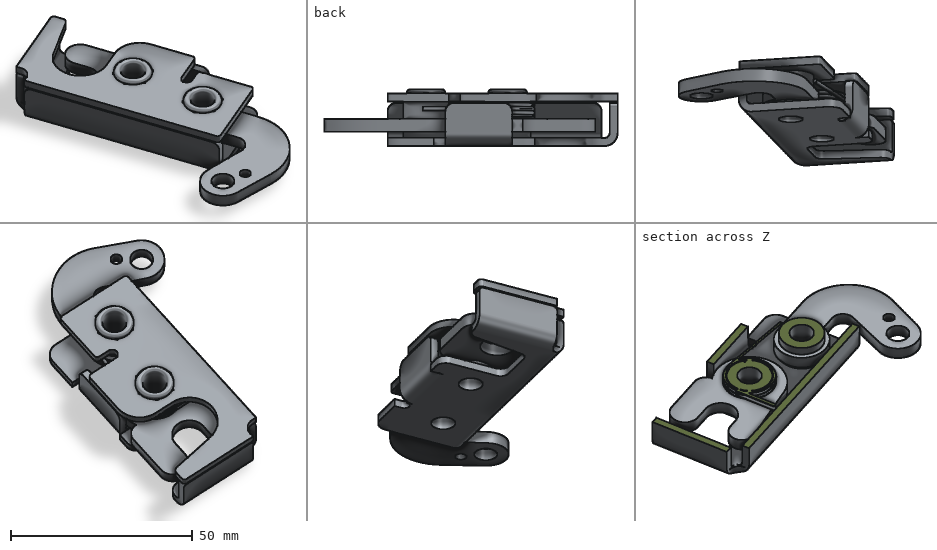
import cadquery as cq
import math

length = 63.4
width = 28.5
housing_height = 11.9
sheet = 2.3
bend_inner_radius = 1.45
bend_outer_radius = bend_inner_radius + sheet
corner_notch = 4.45
notch_fillet = 3.0
left_wall_corner = 1.05
wall_corner = 2.3
rear_wall_start = 29.1
rear_wall_end = 47.5
relief_width = 3.15
floor_corner = 3.9
floor_mouth_left = 6.55
floor_mouth_right = 22.9
floor_mouth_lean = math.radians(8.1)
floor_mouth_bottom = 8.9
floor_mouth_inner_radius = 2.4
floor_mouth_outer_radius = 2.9

cover_gap = 0.4
cover_bottom = housing_height + cover_gap
cover_top = cover_bottom + sheet
cover_corner = 1.05
mouth_center = (14.65, 15.3)
mouth_radius = 7.8
mouth_lean = math.radians(9.8)
mouth_left_corner = 1.4
mouth_right_corner = 7.5
cover_slot_start = 43.45
cover_slot_width = 3.15
cover_slot_bottom = 17.4
cover_step = 23.2

claw_pivot = (30.35, 15.45)
lever_pivot = (52.8, 12.2)
rivet_bore = 6.6
rivet_body = 12.7
rim_thickness = 2.0
hex_diameter = 11.3
hex_rise = 0.12
hex_top = cover_top + hex_rise

plate_bottom = 4.0
plate_thickness = 3.6
plate_top = plate_bottom + plate_thickness

upper_prong = (10.4, 24.3)
upper_prong_radius = width - upper_prong[1]
claw_mouth_center = (14.7, 15.3)
claw_mouth_radius = 4.8
lower_prong_x = 11.9
lower_prong_radius = 3.7
claw_corner_x = 22.7
claw_corner_radius = 3.5

lever_elbow = (66.3, 5.25)
lever_elbow_radius = 14.65
lever_hub_radius = lever_elbow[1] + lever_elbow_radius - lever_pivot[1]
lever_inner_elbow = (64.7, 6.15)
lever_inner_radius = 3.4
lever_tip = (68.6, -9.2)
lever_tip_radius = 6.3
lever_tip_hole = 6.3
lever_small_hole_center = (72.9, -3.7)
lever_small_hole = 3.15

wire = 1.1
coil_overlap = 0.04
coil_radius = (rivet_body + wire) / 2 - coil_overlap
coil_pitch = wire - coil_overlap
coil_turns = 4
coil_bottom = plate_top + wire / 2
long_leg_lean = math.radians(7.5)
long_leg_length = 22.65
short_leg_end = 3.0
short_leg_heights = (8.6, 9.95)
short_leg_rounding = 0.4


def polar(center, radius, angle):
    """Point on a circle at an angle in radians."""
    return (center[0] + radius * math.cos(angle), center[1] + radius * math.sin(angle))


def upright_wall(start, end, corner):
    """Wall along X standing on y = 0, with rounded top corners."""
    wall = cq.Workplane("XY").box(
        end - start, sheet, housing_height - bend_outer_radius, centered=False
    )
    wall = wall.faces(">Z").edges("|Y").fillet(corner)
    return wall.translate((start, 0, bend_outer_radius))


def bend(start, end):
    """Quarter-round bend along X joining the floor to a wall on y = 0."""
    diagonal = math.radians(225)
    center = (bend_outer_radius, bend_outer_radius)
    return (
        cq.Workplane("YZ", origin=(start, 0, 0))
        .moveTo(0, bend_outer_radius)
        .threePointArc(polar(center, bend_outer_radius, diagonal), (bend_outer_radius, 0))
        .lineTo(bend_outer_radius, sheet)
        .threePointArc(polar(center, bend_inner_radius, diagonal), (sheet, bend_outer_radius))
        .close()
        .extrude(end - start)
    )


def to_left_side(wall):
    """Turn a wall from the y = 0 side onto the x = 0 side."""
    return wall.mirror("XZ").rotate((0, 0, 0), (0, 0, 1), 90)


def to_rear_side(wall):
    """Mirror a wall from the y = 0 side onto the rear side."""
    return wall.mirror("XZ").translate((0, width, 0))


def floor_mouth():
    """Tapered opening in the floor where the striker enters."""
    left_at_bottom = floor_mouth_left + (width - floor_mouth_bottom) * math.tan(floor_mouth_lean)
    opening = (
        cq.Workplane("XY")
        .polyline([
            (floor_mouth_left, width),
            (left_at_bottom, floor_mouth_bottom),
            (floor_mouth_right, floor_mouth_bottom),
            (floor_mouth_right, width),
        ])
        .close()
        .extrude(sheet)
    )
    return opening.edges("|Z and <Y").fillet(floor_mouth_inner_radius)


def make_floor():
    """Flat floor inside the bend lines, with its openings and rounded corners."""
    rear_bend_line = width - bend_outer_radius
    inset = bend_outer_radius
    floor = cq.Workplane("XY").box(length - inset, width - inset, sheet, centered=False)
    floor = floor.translate((inset, inset, 0))
    floor = floor.edges("|Z and >X and >Y").fillet(floor_corner)

    rear_strip = cq.Workplane("XY").box(
        rear_wall_end - rear_wall_start, bend_outer_radius, sheet, centered=False
    )
    floor = floor.cut(rear_strip.translate((rear_wall_start, rear_bend_line, 0)))

    relief_radius = relief_width / 2
    relief = (
        cq.Workplane("XY")
        .moveTo(rear_wall_end, width)
        .lineTo(rear_wall_end, rear_bend_line + relief_radius)
        .radiusArc((rear_wall_end + relief_width, rear_bend_line + relief_radius), -relief_radius)
        .lineTo(rear_wall_end + relief_width, width)
        .close()
        .extrude(sheet)
    )
    floor = floor.cut(relief).cut(floor_mouth())
    for x in (floor_mouth_left, floor_mouth_right):
        corner = cq.selectors.NearestToPointSelector((x, width, sheet / 2))
        floor = floor.edges("|Z").edges(corner).fillet(floor_mouth_outer_radius)
    return floor


def make_housing():
    housing = make_floor()
    housing = housing.union(bend(0, length))
    housing = housing.union(to_left_side(bend(0, width)))
    notch = cq.Workplane("XY").box(corner_notch, corner_notch, bend_outer_radius, centered=False)
    housing = housing.cut(notch.edges("|Z and >X and >Y").fillet(notch_fillet))
    housing = housing.cut(notch.translate((0, 0, sheet)))

    housing = housing.union(upright_wall(corner_notch, length, wall_corner))
    housing = housing.union(to_left_side(upright_wall(corner_notch, width, left_wall_corner)))
    rear_wall = bend(rear_wall_start, rear_wall_end).union(
        upright_wall(rear_wall_start, rear_wall_end, wall_corner)
    )
    return housing.union(to_rear_side(rear_wall))


def make_cover():
    tangent = polar(mouth_center, mouth_radius, math.pi + mouth_lean)
    mouth_left_top = tangent[0] - (width - tangent[1]) * math.tan(mouth_lean)
    mouth_right = mouth_center[0] + mouth_radius
    slot_radius = cover_slot_width / 2
    slot_end = cover_slot_start + cover_slot_width
    cover = (
        cq.Workplane("XY", origin=(0, 0, cover_bottom))
        .moveTo(corner_notch, 0)
        .lineTo(length, 0)
        .lineTo(length, cover_step)
        .lineTo(slot_end, cover_step)
        .lineTo(slot_end, cover_slot_bottom + slot_radius)
        .radiusArc((cover_slot_start, cover_slot_bottom + slot_radius), slot_radius)
        .lineTo(cover_slot_start, width)
        .lineTo(mouth_right, width)
        .lineTo(mouth_right, mouth_center[1])
        .threePointArc(polar(mouth_center, mouth_radius, -math.pi / 2), tangent)
        .lineTo(mouth_left_top, width)
        .lineTo(0, width)
        .lineTo(0, corner_notch)
        .lineTo(corner_notch, corner_notch)
        .close()
        .extrude(sheet)
    )
    rounded_corners = [
        ((length, 0), cover_corner),
        ((length, cover_step), cover_corner),
        ((slot_end, cover_step), cover_corner),
        ((cover_slot_start, width), cover_corner),
        ((0, width), cover_corner),
        ((mouth_right, width), mouth_right_corner),
        ((mouth_left_top, width), mouth_left_corner),
        ((corner_notch, corner_notch), notch_fillet),
    ]
    for (x, y), radius in rounded_corners:
        corner = cq.selectors.NearestToPointSelector((x, y, cover_bottom + sheet / 2))
        cover = cover.edges("|Z").edges(corner).fillet(radius)
    return cover


def make_claw():
    mouth_top = upper_prong[1] - upper_prong_radius
    mouth_bottom = claw_mouth_center[1] - claw_mouth_radius
    lower_prong = (lower_prong_x, mouth_bottom - lower_prong_radius)
    corner = (claw_corner_x, width - claw_corner_radius)
    corner_end = (corner[0] + claw_corner_radius, corner[1])
    hub_radius = math.dist(corner_end, claw_pivot)
    return (
        cq.Workplane("XY", origin=(0, 0, plate_bottom))
        .moveTo(upper_prong[0], width)
        .lineTo(corner[0], width)
        .threePointArc(polar(corner, claw_corner_radius, math.pi / 4), corner_end)
        .threePointArc(polar(claw_pivot, hub_radius, 0), polar(claw_pivot, hub_radius, -math.pi / 2))
        .lineTo(lower_prong[0], lower_prong[1] - lower_prong_radius)
        .threePointArc(
            polar(lower_prong, lower_prong_radius, math.pi), (lower_prong[0], mouth_bottom)
        )
        .lineTo(claw_mouth_center[0], mouth_bottom)
        .threePointArc(
            polar(claw_mouth_center, claw_mouth_radius, 0), (claw_mouth_center[0], mouth_top)
        )
        .lineTo(upper_prong[0], mouth_top)
        .threePointArc(polar(upper_prong, upper_prong_radius, math.pi), (upper_prong[0], width))
        .close()
        .extrude(plate_thickness)
    )


def tangent_normal(start, end, offset_change):
    """Angle of the normal, left of travel, of a line tangent to circles around start and end.

    offset_change is the gain in the line's distance, left of the centers, from start to end.
    """
    heading = math.atan2(end[1] - start[1], end[0] - start[0])
    return heading + math.asin(offset_change / math.dist(start, end)) + math.pi / 2


def make_lever():
    outer_normal = tangent_normal(lever_elbow, lever_tip, lever_tip_radius - lever_elbow_radius)
    inner_normal = tangent_normal(
        lever_inner_elbow, lever_tip, -lever_tip_radius - lever_inner_radius
    )
    tip_bottom = polar(lever_tip, lever_tip_radius, -math.pi / 2)
    elbow_top = polar(lever_elbow, lever_elbow_radius, math.pi / 2)
    inner_top = polar(lever_inner_elbow, lever_inner_radius, math.pi / 2)
    arm = (
        cq.Workplane("XY", origin=(0, 0, plate_bottom))
        .moveTo(lever_pivot[0], elbow_top[1])
        .lineTo(*elbow_top)
        .threePointArc(
            polar(lever_elbow, lever_elbow_radius, (outer_normal + math.pi / 2) / 2),
            polar(lever_elbow, lever_elbow_radius, outer_normal),
        )
        .lineTo(*polar(lever_tip, lever_tip_radius, outer_normal))
        .threePointArc(tip_bottom, polar(lever_tip, -lever_tip_radius, inner_normal))
        .lineTo(*polar(lever_inner_elbow, lever_inner_radius, inner_normal))
        .threePointArc(
            polar(lever_inner_elbow, lever_inner_radius, (inner_normal + math.pi / 2) / 2),
            inner_top,
        )
        .lineTo(lever_pivot[0], inner_top[1])
        .close()
        .extrude(plate_thickness)
    )
    base = cq.Workplane("XY", origin=(0, 0, plate_bottom))
    hub = base.center(*lever_pivot).circle(lever_hub_radius).extrude(plate_thickness)
    tip_hole = base.center(*lever_tip).circle(lever_tip_hole / 2).extrude(plate_thickness)
    small_hole = (
        base.center(*lever_small_hole_center).circle(lever_small_hole / 2).extrude(plate_thickness)
    )
    return arm.union(hub).cut(tip_hole).cut(small_hole)


def make_rivet(center):
    """Solid body below the cover, hexagon through the cover and rolled rim on top."""
    body = cq.Workplane("XY").circle(rivet_body / 2).extrude(cover_bottom)
    hexagon = (
        cq.Workplane("XY", origin=(0, 0, cover_bottom))
        .transformed(rotate=(0, 0, 90))
        .polygon(6, hex_diameter)
        .extrude(sheet + hex_rise)
    )
    rim_radius = rim_thickness / 2
    rim = cq.Workplane(
        cq.Solid.makeTorus(rivet_bore / 2 + rim_radius, rim_radius, cq.Vector(0, 0, hex_top))
    )
    return body.union(hexagon).union(rim).translate((*center, 0))


def rivet_bores():
    height = hex_top + rim_thickness
    hole = cq.Workplane("XY").pushPoints([claw_pivot, lever_pivot]).circle(rivet_bore / 2)
    return hole.extrude(height)


def wire_leg(start, heading, leg_length):
    """Straight round wire running level from a start point."""
    direction = cq.Vector(math.cos(heading), math.sin(heading), 0)
    leg = cq.Solid.makeCylinder(wire / 2, leg_length, cq.Vector(*start), direction)
    return cq.Workplane(leg)


def make_spring():
    """Stacked coils with a long leg toward the lever and two short legs toward the front wall."""
    coil_heights = [coil_bottom + turn * coil_pitch for turn in range(coil_turns)]
    rings = [
        cq.Workplane(cq.Solid.makeTorus(coil_radius, wire / 2, cq.Vector(*claw_pivot, z)))
        for z in coil_heights
    ]
    spring = rings[0]
    for ring in rings[1:]:
        spring = spring.union(ring)

    long_leg_start = polar(claw_pivot, coil_radius, math.pi / 2 - long_leg_lean)
    spring = spring.union(
        wire_leg((*long_leg_start, coil_heights[-2]), -long_leg_lean, long_leg_length)
    )
    short_leg_start = polar(claw_pivot, coil_radius, math.pi)
    short_leg_length = short_leg_start[1] - short_leg_end
    for z in short_leg_heights:
        short_leg = wire_leg((*short_leg_start, z), -math.pi / 2, short_leg_length)
        spring = spring.union(short_leg.faces("<Y").edges().fillet(short_leg_rounding))
    return spring


result = make_housing()
for pivot in (claw_pivot, lever_pivot):
    result = result.union(make_rivet(pivot))
for part in (make_cover(), make_claw(), make_lever(), make_spring()):
    result = result.union(part)
result = result.cut(rivet_bores())